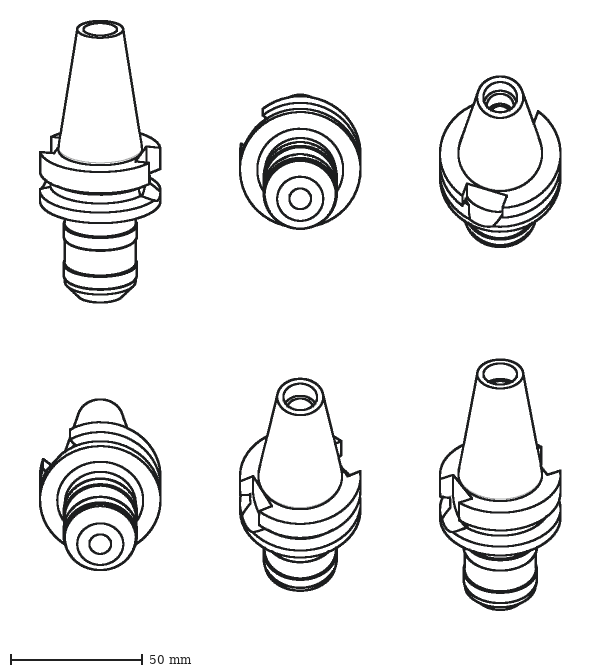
import cadquery as cq

total_height = 108.4
nose_height = 5.2
collar_bottom = 35.2
flange_bottom = 38.2
flange_top = 59.1
taper_base = 60.0

nose_tip_radius = 8.8
shank_radius = 13.5
collar_radius = 16.4
flange_radius = 23.0
taper_base_radius = 15.9
taper_tip_radius = 8.8

band_bottoms = [7.2, 23.1]
band_height = 5.9
band_radius = 14.0
band_chamfer = band_radius - shank_radius

groove_radius = 19.1
groove_edge_bottom = 42.5
groove_edge_top = 50.4
groove_floor_bottom = 44.7
groove_floor_top = 48.2

slot_width = 16.0
slot_floor_x = 16.0
slot_bottom = 41.1

through_radius = 4.1
pilot_radius = 5.1
pilot_depth = 16.3
mouth_radius = 6.4
mouth_depth = 7.6


def make_body():
    """Revolve the solid outline about Z."""
    outline = [
        (0, 0),
        (nose_tip_radius, 0),
        (shank_radius, nose_height),
        (shank_radius, collar_bottom),
        (collar_radius, flange_bottom),
        (flange_radius, flange_bottom),
        (flange_radius, groove_edge_bottom),
        (groove_radius, groove_floor_bottom),
        (groove_radius, groove_floor_top),
        (flange_radius, groove_edge_top),
        (flange_radius, flange_top),
        (taper_base_radius, flange_top),
        (taper_base_radius, taper_base),
        (taper_tip_radius, total_height),
        (0, total_height),
    ]
    return cq.Workplane("XZ").polyline(outline).close().revolve(360, (0, 0), (0, 1))


def make_band(bottom):
    """Raised shank band whose chamfers run down to the shank surface."""
    band = cq.Workplane("XY").workplane(offset=bottom).circle(band_radius).extrude(band_height)
    return band.edges().chamfer(band_chamfer)


def make_slot(side):
    """Cutter for one round-bottomed drive slot; side is +1 or -1 along X."""
    half_width = slot_width / 2
    arc_center = slot_bottom + half_width
    return (
        cq.Workplane("YZ", origin=(side * slot_floor_x, 0, 0))
        .moveTo(-half_width, flange_top)
        .lineTo(-half_width, arc_center)
        .threePointArc((0, slot_bottom), (half_width, arc_center))
        .lineTo(half_width, flange_top)
        .close()
        .extrude(side * flange_radius)
    )


def make_bore():
    """Cutter for the stepped bore, open at both ends."""
    mouth_floor = total_height - mouth_depth
    pilot_floor = total_height - pilot_depth
    outline = [
        (0, 0),
        (through_radius, 0),
        (through_radius, pilot_floor),
        (pilot_radius, pilot_floor),
        (pilot_radius, mouth_floor),
        (mouth_radius, mouth_floor),
        (mouth_radius, total_height),
        (0, total_height),
    ]
    return cq.Workplane("XZ").polyline(outline).close().revolve(360, (0, 0), (0, 1))


result = make_body()
for band_bottom in band_bottoms:
    result = result.union(make_band(band_bottom))
for slot_side in (-1, 1):
    result = result.cut(make_slot(slot_side))
result = result.cut(make_bore())